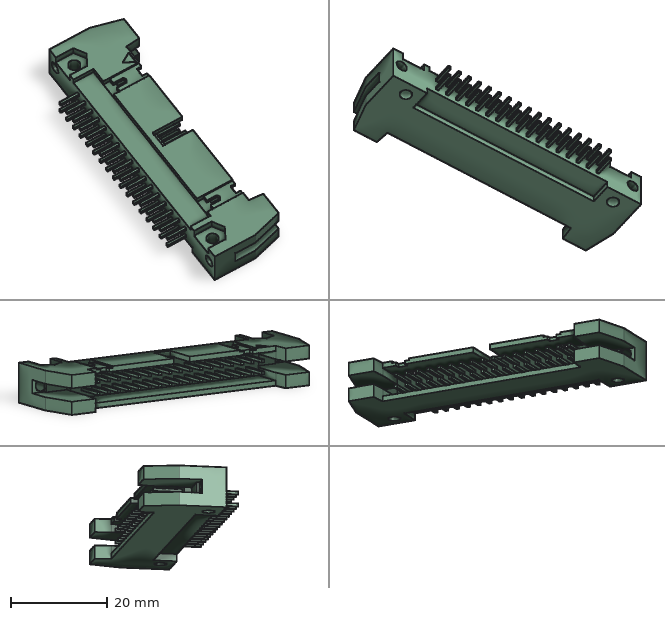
import cadquery as cq
import math

CUT = 0.6

length = 62.8
height = 8.5
body_depth = 17.2
wall_top = 13.8
top_z = height / 2

ear_shoulder_y = 10.05
ear_tip_outer_x = 29.4
ear_tip_inner_x = 23.55
ear_root_x = 23.25

cavity_floor = 7.35
cavity_wall = 1.1
cavity_half = top_z - cavity_wall
slot_height = 2.8
slot_outer_floor = 5.15
slot_inner_floor = 5.8
slot_step_x = 28.4

pins_per_row = 17
row_length = 40.65
pitch = row_length / (pins_per_row - 1)
pin_size = 0.6
pin_tail = 4.6
pin_tip = 13.45

hole_diameter = 2.6
cross_hole_x = 26.25
cross_hole_y = 2.8
end_hole_x = 29.25
end_hole_z = 0.1
nut_width = 5.35
nut_depth = 1.75

ledge_depth = 4.95
top_ledge_length = 44.45
top_ledge_drop = 1.1
bottom_ledge_length = 45.7
bottom_ledge_drop = 1.5

notch_width = 3.95
notch_floor = 6.4

channel_offset = 17.8
channel_shift = pitch / 2
channel_width = 3.95
channel_drop = 0.4
channel_foot_y = 6.6
channel_foot_drop = 1.2
window_width = 1.4
window_top = 9.35
window_crown = 0.4
edge_gap_width = 2.1
edge_gap_depth = 1.1

mark_width = 2.75
mark_height = 2.45
mark_edge_gap = 0.45
mark_drop = 0.2


def block(x_range, y_range, z_range):
    """Box given by its lower and upper limit along each axis."""
    lows, highs = zip(x_range, y_range, z_range)
    sizes = [high - low for low, high in zip(lows, highs)]
    return cq.Workplane("XY").box(*sizes, centered=False).translate(lows)


def centred(middle, width):
    """Lower and upper limit of a stretch of the given width."""
    return (middle - width / 2, middle + width / 2)


def level_plane(z):
    return cq.Workplane("XY").workplane(offset=z)


def make_body():
    right_side = [
        (length / 2, 0),
        (length / 2, ear_shoulder_y),
        (ear_tip_outer_x, body_depth),
        (ear_tip_inner_x, body_depth),
        (ear_root_x, wall_top),
    ]
    left_side = [(-x, y) for x, y in reversed(right_side)]
    outline = level_plane(-top_z).polyline(right_side + left_side).close()
    return outline.extrude(height)


def cut_cavity(body):
    beyond = body_depth + CUT
    slot_z = centred(0, slot_height)
    cavity = block(centred(0, 2 * ear_root_x), (cavity_floor, beyond), centred(0, 2 * cavity_half))
    inner_slot = block(centred(0, 2 * slot_step_x), (slot_inner_floor, beyond), slot_z)
    core = block(centred(0, 2 * ear_root_x), (slot_inner_floor, cavity_floor), slot_z)
    body = body.cut(cavity).cut(inner_slot.cut(core))
    for outer_x in ((-length / 2 - CUT, -slot_step_x), (slot_step_x, length / 2 + CUT)):
        body = body.cut(block(outer_x, (slot_outer_floor, beyond), slot_z))
    return body


def cut_ledges(body):
    ledge_y = (-CUT, ledge_depth)
    top_ledge = block(centred(0, top_ledge_length), ledge_y, (top_z - top_ledge_drop, top_z + CUT))
    bottom_ledge = block(
        centred(0, bottom_ledge_length), ledge_y, (-top_z - CUT, -top_z + bottom_ledge_drop)
    )
    return body.cut(top_ledge).cut(bottom_ledge)


def cut_mounting(body, side):
    """Holes and nut pocket at one end; side is -1 or 1."""
    x = side * cross_hole_x
    half_nut = nut_width / 2
    shoulder_y = cross_hole_y + half_nut * math.tan(math.radians(30))
    apex_y = cross_hole_y + half_nut / math.cos(math.radians(30))
    pocket = (
        level_plane(top_z - nut_depth)
        .polyline([
            (x - half_nut, -CUT),
            (x + half_nut, -CUT),
            (x + half_nut, shoulder_y),
            (x, apex_y),
            (x - half_nut, shoulder_y),
        ])
        .close()
        .extrude(nut_depth + CUT)
    )
    cross_hole = (
        level_plane(-top_z)
        .center(x, cross_hole_y)
        .circle(hole_diameter / 2)
        .extrude(height)
    )
    end_hole = (
        cq.Workplane("XZ")
        .center(side * end_hole_x, end_hole_z)
        .circle(hole_diameter / 2)
        .extrude(-slot_outer_floor)
    )
    return body.cut(pocket).cut(cross_hole).cut(end_hole)


def cut_notch(body):
    notch = block(centred(0, notch_width), (notch_floor, wall_top + CUT), (cavity_half, top_z + CUT))
    return body.cut(notch)


def cut_channel(body, x):
    """Shallow channel with a deep foot, a round-topped window and a gap at the wall edge."""
    beyond_y = wall_top + CUT
    beyond_z = top_z + CUT
    foot_z = top_z - channel_foot_drop
    channel_x = centred(x, channel_width)
    channel = block(channel_x, (ledge_depth, beyond_y), (top_z - channel_drop, beyond_z))
    foot = block(channel_x, (ledge_depth, channel_foot_y), (foot_z, beyond_z))
    gap = block(
        centred(x, edge_gap_width), (wall_top - edge_gap_depth, beyond_y), (foot_z, beyond_z)
    )
    half_window = window_width / 2
    window_shoulder = window_top - window_crown
    window = (
        level_plane(foot_z)
        .moveTo(x - half_window, channel_foot_y)
        .lineTo(x + half_window, channel_foot_y)
        .lineTo(x + half_window, window_shoulder)
        .threePointArc((x, window_top), (x - half_window, window_shoulder))
        .close()
        .extrude(beyond_z - foot_z)
    )
    return body.cut(channel).cut(foot).cut(gap).cut(window)


def cut_mark(body):
    mark_top = wall_top - mark_edge_gap
    x = -row_length / 2
    mark = (
        level_plane(top_z - mark_drop)
        .polyline([
            (x - mark_width / 2, mark_top),
            (x + mark_width / 2, mark_top),
            (x, mark_top - mark_height),
        ])
        .close()
        .extrude(mark_drop + CUT)
    )
    return body.cut(mark)


def add_pins(body):
    for column in range(pins_per_row):
        x = -row_length / 2 + column * pitch
        for z in (-pitch / 2, pitch / 2):
            pin = block(centred(x, pin_size), (-pin_tail, pin_tip), centred(z, pin_size))
            body = body.union(pin)
    return body


header = cut_notch(cut_ledges(cut_cavity(make_body())))
for end in (-1, 1):
    header = cut_mounting(header, end)
    header = cut_channel(header, end * channel_offset + channel_shift)
result = add_pins(cut_mark(header))